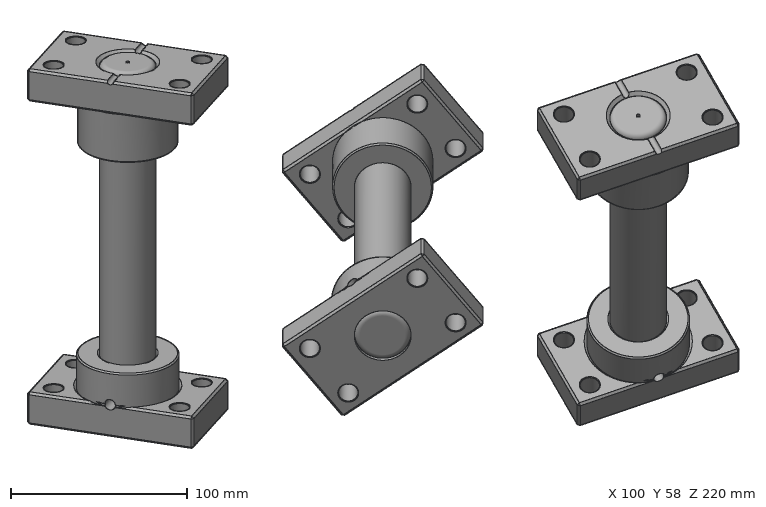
import cadquery as cq
total_height = 220.0

plate_length = 100.0
plate_width = 58.0
plate_thickness = 20.0
plate_chamfer = 1.3

bolt_spacing_x = 76.0
bolt_spacing_y = 36.0
bolt_hole_diameter = 11.0
bolt_hole_chamfer = 0.5

pillar_diameter = 32.1
pillar_end_radius = 3.3
centre_hole_diameter = 2.2
centre_hole_depth = 2.2

lower_boss_diameter = plate_width
lower_boss_height = 20.0
lower_bore_chamfer = 1.0
relief_groove_size = 1.5
cross_hole_diameter = 6.4

upper_boss_diameter = 56.8
upper_boss_height = 30.0
upper_bore_chamfer = 2.0
top_groove_diameter = 4.0

boss_edge_chamfer = 0.9


def cylinder(diameter, bottom, height):
    """Upright cylinder on the common axis."""
    return cq.Workplane("XY").workplane(offset=bottom).circle(diameter / 2).extrude(height)


def countersink(bore_diameter, chamfer, top):
    """Cone that chamfers the upper mouth of a bore at height top."""
    bore_radius = bore_diameter / 2
    return (
        cq.Workplane("XZ")
        .moveTo(0, top - chamfer)
        .lineTo(bore_radius, top - chamfer)
        .lineTo(bore_radius + chamfer, top)
        .lineTo(0, top)
        .close()
        .revolve(360, (0, 0, 0), (0, 1, 0))
    )


def cross_cylinder(diameter, height):
    """Cylinder along Y through the whole plate width, centred at the given height."""
    return (
        cq.Workplane("XZ")
        .center(0, height)
        .circle(diameter / 2)
        .extrude(plate_width, both=True)
    )


def make_plate(bottom):
    """Chamfered plate with four bolt holes, countersunk on both faces."""
    plate = (
        cq.Workplane("XY")
        .workplane(offset=bottom)
        .rect(plate_length, plate_width)
        .extrude(plate_thickness)
        .edges()
        .chamfer(plate_chamfer)
    )
    drilled = (
        plate.faces(">Z")
        .workplane(origin=(0, 0, 0))
        .rect(bolt_spacing_x, bolt_spacing_y, forConstruction=True)
        .vertices()
        .hole(bolt_hole_diameter)
    )
    return drilled.edges("%CIRCLE").chamfer(bolt_hole_chamfer)


def make_relief_groove():
    """Ring of triangular section cut into the lower plate around its boss."""
    boss_radius = lower_boss_diameter / 2
    return (
        cq.Workplane("XZ")
        .moveTo(boss_radius, plate_thickness)
        .lineTo(boss_radius + relief_groove_size, plate_thickness)
        .lineTo(boss_radius, plate_thickness - relief_groove_size)
        .close()
        .revolve(360, (0, 0, 0), (0, 1, 0))
    )


def make_lower_holder():
    boss_top = plate_thickness + lower_boss_height
    boss = cylinder(lower_boss_diameter, plate_thickness, lower_boss_height)
    boss = boss.faces(">Z").edges().chamfer(boss_edge_chamfer)
    return (
        make_plate(0)
        .union(boss)
        .cut(cylinder(pillar_diameter, 0, boss_top))
        .cut(countersink(pillar_diameter, lower_bore_chamfer, boss_top))
        .cut(cross_cylinder(cross_hole_diameter, plate_thickness))
        .cut(make_relief_groove())
    )


def make_upper_holder():
    plate_bottom = total_height - plate_thickness
    boss_bottom = plate_bottom - upper_boss_height
    boss = cylinder(upper_boss_diameter, boss_bottom, upper_boss_height)
    boss = boss.faces("<Z").edges().chamfer(boss_edge_chamfer)
    return (
        make_plate(plate_bottom)
        .union(boss)
        .cut(cylinder(pillar_diameter, boss_bottom, total_height - boss_bottom))
        .cut(countersink(pillar_diameter, upper_bore_chamfer, total_height))
        .cut(cross_cylinder(top_groove_diameter, total_height))
    )


def make_pillar():
    pillar = cylinder(pillar_diameter, 0, total_height)
    pillar = pillar.edges("%CIRCLE").fillet(pillar_end_radius)
    centre_hole = cylinder(centre_hole_diameter, total_height - centre_hole_depth, centre_hole_depth)
    return pillar.cut(centre_hole)


lower_holder = make_lower_holder()
upper_holder = make_upper_holder()
pillar = make_pillar()

result = cq.Compound.makeCompound([lower_holder.val(), upper_holder.val(), pillar.val()])